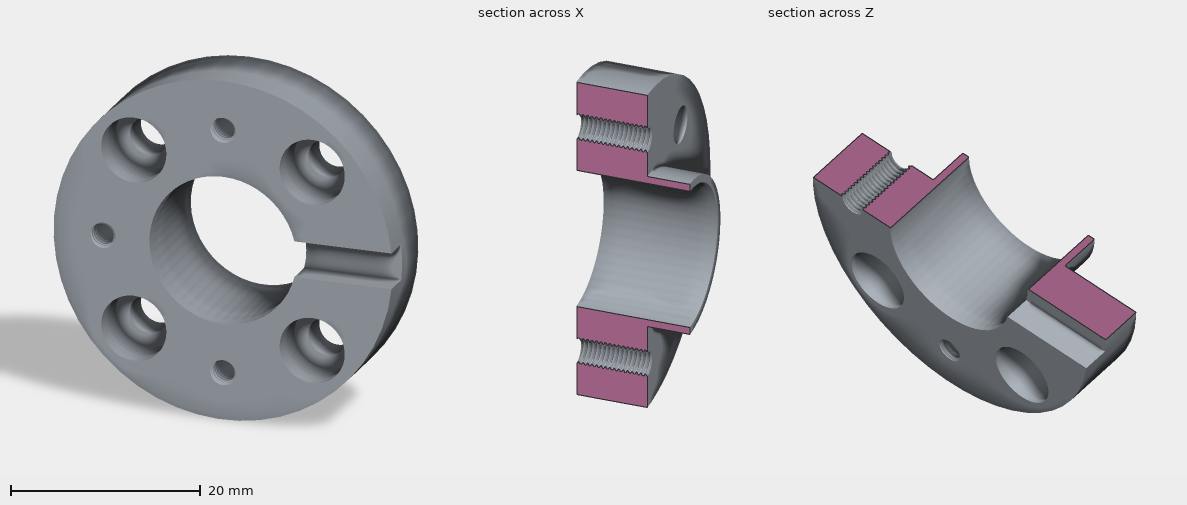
import cadquery as cq
import math

flange_diameter = 38.0
flange_thickness = 8.0

overall_length = 12.8
collar_diameter = 18.3
bore_diameter = 16.5

screw_spacing = 20.0
screw_hole_diameter = 4.2
counterbore_diameter = 7.3
counterbore_depth = 4.6

slot_width = 4.0
slot_depth = 3.0

thread_circle_radius = 13.6
thread_minor_diameter = 2.53
thread_major_diameter = 3.09
thread_pitch = 0.5
thread_flank_angle = 30.0
groove_mouth_width = thread_pitch * 7 / 8
groove_overlap = 0.03
thread_position_angles = (90.0, 180.0, 270.0)
thread_start_angles = (270.0, 0.0, 270.0)


def cylinder(diameter, length, x=0.0, z=0.0):
    """Cylinder along +Y that starts on the front face."""
    axis_start = cq.Vector(x, 0, z)
    return cq.Workplane(cq.Solid.makeCylinder(diameter / 2, length, axis_start, cq.Vector(0, 1, 0)))


def make_body():
    flange = cylinder(flange_diameter, flange_thickness)
    collar = cylinder(collar_diameter, overall_length)
    return flange.union(collar).cut(cylinder(bore_diameter, overall_length))


def make_screw_hole(x, z):
    hole = cylinder(screw_hole_diameter, flange_thickness, x, z)
    return hole.union(cylinder(counterbore_diameter, counterbore_depth, x, z))


def make_slot():
    """Box from the part axis past the rim, cut into the front face."""
    return cq.Workplane("XY").box(flange_diameter, slot_depth, slot_width, centered=(False, False, True))


def make_thread_groove():
    """Right-handed helical V groove along +Z, one pitch longer than the flange at each end."""
    minor_radius = thread_minor_diameter / 2
    major_radius = thread_major_diameter / 2
    inner_radius = minor_radius - groove_overlap
    flank_slope = math.tan(math.radians(thread_flank_angle))
    inner_half = groove_mouth_width / 2 + groove_overlap * flank_slope
    root_half = groove_mouth_width / 2 - (major_radius - minor_radius) * flank_slope
    profile = (
        cq.Workplane("XZ")
        .moveTo(inner_radius, -inner_half)
        .lineTo(major_radius, -root_half)
        .lineTo(major_radius, root_half)
        .lineTo(inner_radius, inner_half)
        .close()
    )
    helix = cq.Wire.makeHelix(thread_pitch, flange_thickness + 2 * thread_pitch, minor_radius)
    groove = profile.sweep(cq.Workplane(helix), isFrenet=True)
    return groove.translate((0, 0, -thread_pitch))


def place_thread_tool(tool, x, z, start_angle):
    """Turn a tool's axis from Z to Y, point its start at start_angle from +X toward +Z and move it."""
    lying = tool.rotate((0, 0, 0), (1, 0, 0), -90)
    turned = lying.rotate((0, 0, 0), (0, 1, 0), -start_angle)
    return turned.translate((x, 0, z))


result = make_body().cut(make_slot())

for x_side in (-1, 1):
    for z_side in (-1, 1):
        result = result.cut(make_screw_hole(x_side * screw_spacing / 2, z_side * screw_spacing / 2))

thread_groove = make_thread_groove()
thread_core = cq.Workplane("XY").circle(thread_minor_diameter / 2).extrude(flange_thickness)
for position_angle, start_angle in zip(thread_position_angles, thread_start_angles):
    hole_x = thread_circle_radius * math.cos(math.radians(position_angle))
    hole_z = thread_circle_radius * math.sin(math.radians(position_angle))
    for tool in (thread_groove, thread_core):
        result = result.cut(place_thread_tool(tool, hole_x, hole_z, start_angle))